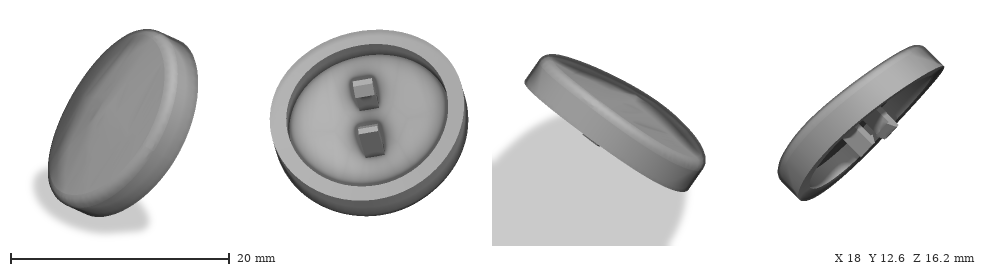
import cadquery as cq
import math

AXIS_TILT = 30.0
CAP_RADIUS = 9.0
POCKET_RADIUS = 15.0 / 2
ROOF = CAP_RADIUS - POCKET_RADIUS
EDGE_FILLET = 0.94
BLANK_REACH = 7.2

APEX_V = -0.68
APEX_W = 4.0
CONE_LEAN = 4.2
CONE_SLOPE_X = 0.14
CONE_SLOPE_V = 0.077
CONE_HEIGHT = 9.0

BACK_SAG = 0.58
BACK_LEAN = 4.3
BACK_W = 0.07

HOOK_OUTER_V = 2.99
HOOK_STEM_V = 2.03
HOOK_BARB_V = 1.62
HOOK_TIP_V = 2.4
HOOK_TIP_W = -1.4
HOOK_BARB_W = -0.63
HOOK_ROOT_W = 2.7
HOOK_WIDTH = 1.8


def plug_under_front(radius, drop):
    """Cylinder along w whose upper end is the conical front lowered by drop."""
    base_radius = CONE_HEIGHT / CONE_SLOPE_X
    round_cone = cq.Solid.makeCone(base_radius, 0, CONE_HEIGHT, cq.Vector(0, 0, -CONE_HEIGHT))
    stretch = cq.Matrix([[1, 0, 0, 0], [0, CONE_SLOPE_X / CONE_SLOPE_V, 0, 0], [0, 0, 1, 0]])
    cone = (
        cq.Workplane(round_cone.rotate(cq.Vector(), cq.Vector(0, 0, 1), 90).transformGeometry(stretch))
        .rotate((0, 0, 0), (1, 0, 0), -CONE_LEAN)
        .translate((0, APEX_V, APEX_W - drop))
    )
    bottom = (0, 0, -BLANK_REACH)
    cylinder = cq.Workplane("XY", origin=bottom).circle(radius).extrude(2 * BLANK_REACH)
    return cylinder.intersect(cone)


def back_cutter():
    """Everything behind the trough-shaped back."""
    length = 4 * CAP_RADIUS
    half_width = 1.2 * CAP_RADIUS
    arc_radius = (CAP_RADIUS**2 + BACK_SAG**2) / (2 * BACK_SAG)
    edge_w = math.sqrt(arc_radius**2 - half_width**2) - arc_radius
    return (
        cq.Workplane("XZ", origin=(0, length / 2, 0))
        .moveTo(-half_width, edge_w)
        .threePointArc((0, 0), (half_width, edge_w))
        .lineTo(half_width, -2 * BLANK_REACH)
        .lineTo(-half_width, -2 * BLANK_REACH)
        .close()
        .extrude(length)
        .rotate((0, 0, 0), (1, 0, 0), -BACK_LEAN)
        .translate((0, 0, BACK_W))
    )


def hook_pair():
    """Two barbed hooks hanging from the pocket roof past the back."""
    profile = [
        (HOOK_OUTER_V, HOOK_ROOT_W),
        (HOOK_OUTER_V, HOOK_TIP_W),
        (HOOK_TIP_V, HOOK_TIP_W),
        (HOOK_BARB_V, HOOK_BARB_W),
        (HOOK_STEM_V, HOOK_BARB_W),
        (HOOK_STEM_V, HOOK_ROOT_W),
    ]
    hook = cq.Workplane("YZ").polyline(profile).close().extrude(HOOK_WIDTH / 2, both=True)
    return hook.union(hook.mirror("XZ"))


rim_edge = cq.selectors.BoxSelector(
    (-2 * CAP_RADIUS, -2 * CAP_RADIUS, 0), (2 * CAP_RADIUS, 2 * CAP_RADIUS, APEX_W), boundingbox=True
)
cap = plug_under_front(CAP_RADIUS, 0).edges(rim_edge).edges("not %LINE").fillet(EDGE_FILLET)
cap = cap.cut(back_cutter())
cap = cap.cut(plug_under_front(POCKET_RADIUS, ROOF))
cap = cap.union(hook_pair())

result = cap.rotate((0, 0, 0), (1, 0, 0), 90 - AXIS_TILT)